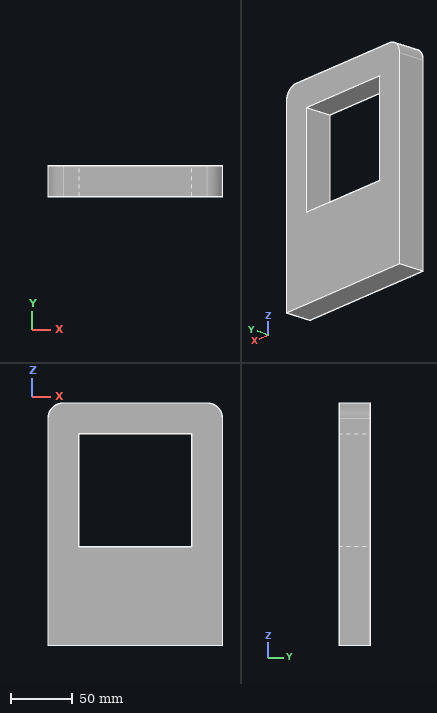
import cadquery as cq

width = 142.8
thickness = 25.4
height = 198.4
corner_radius = thickness / 2

frame_margin = thickness
window_side = width - 2 * frame_margin
window_center_z = height / 2 - frame_margin - window_side / 2


def make_plate():
    """Upright plate centred on the origin, with its two top corners rounded."""
    plate = cq.Workplane("XY").box(width, thickness, height)
    return plate.edges("|Y and >Z").fillet(corner_radius)


def make_window():
    """Square block that cuts through the full plate thickness."""
    block = cq.Workplane("XY").box(window_side, thickness, window_side)
    return block.translate((0, 0, window_center_z))


result = make_plate().cut(make_window())